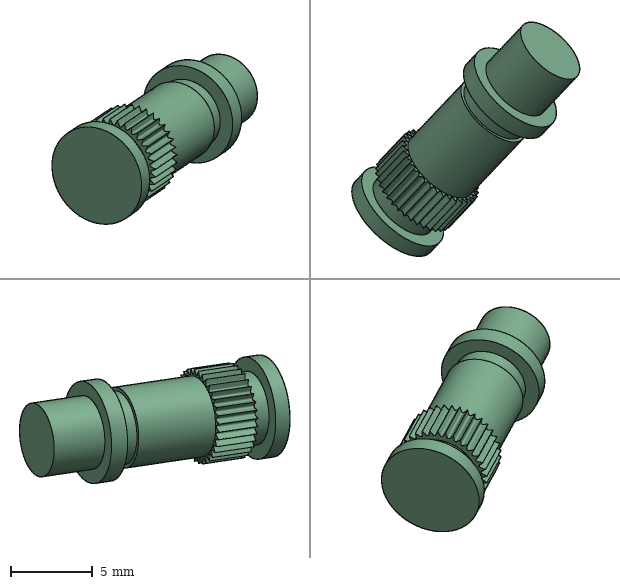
import cadquery as cq
import math

length = 15.8
head_thickness = 1.0
neck_length = 1.1
knurl_length = 2.69
body_length = 5.31
groove_length = neck_length
collar_thickness = 1.1

flange_diameter = 6.3
core_diameter = 4.55
body_diameter = 5.0
knurl_diameter = 5.88

tooth_count = 36
half_pitch = math.pi / tooth_count
root_edge_radius = 2.65
root_bottom_radius = 2.59
root_half_width = 0.1

head_start = -length / 2
knurl_start = head_start + head_thickness + neck_length
body_start = knurl_start + knurl_length
collar_start = body_start + body_length + groove_length


def section_plane(start):
    """Sketch plane across the axis whose extrusions run toward -Y when positive."""
    return cq.Workplane("XZ", origin=(0, start, 0))


def disc(diameter, start, thickness):
    """Cylinder along +Y from the given start."""
    return section_plane(start).circle(diameter / 2).extrude(-thickness)


def polar(radius, angle):
    return (radius * math.cos(angle), radius * math.sin(angle))


def knurl():
    """Ring of straight pointed teeth, starting from a tooth tip below the +X axis."""
    root_half_angle = math.asin(root_half_width / root_edge_radius)
    outline = section_plane(knurl_start).moveTo(*polar(knurl_diameter / 2, -half_pitch))
    for tooth in range(tooth_count):
        root_angle = 2 * half_pitch * tooth
        outline = (
            outline.lineTo(*polar(root_edge_radius, root_angle - root_half_angle))
            .threePointArc(
                polar(root_bottom_radius, root_angle),
                polar(root_edge_radius, root_angle + root_half_angle),
            )
            .lineTo(*polar(knurl_diameter / 2, root_angle + half_pitch))
        )
    return outline.close().extrude(-knurl_length)


core = disc(core_diameter, head_start, length)
head = disc(flange_diameter, head_start, head_thickness)
body = disc(body_diameter, body_start, body_length)
collar = disc(flange_diameter, collar_start, collar_thickness)

result = core.union(head).union(knurl()).union(body).union(collar)